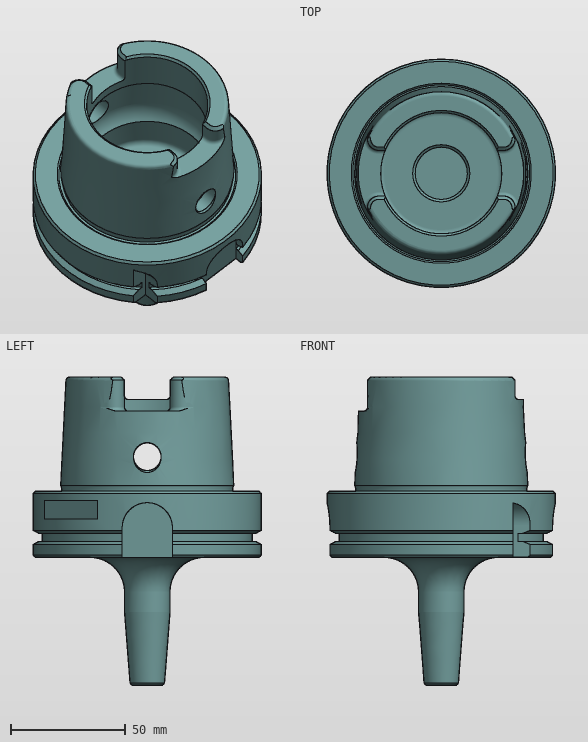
import cadquery as cq
import math


shank_length = 50.0
taper_base_z = 2.6
taper_base_radius = 37.95
taper_slope = 1.0 / 20.0
shank_top_round = 1.8

relief_radius = 37.6
relief_top_z = 1.7
relief_waist_z = 0.8
relief_waist_radius = 37.5
relief_depth = 0.6
relief_floor_radius = 38.7
relief_rim_radius = 39.4

flange_radius = 50.0
flange_height = 29.0
flange_chamfer = 1.0
groove_radius = 46.0
groove_center_z = -20.2
groove_half_width = 1.7
groove_mouth_half_width = 3.1
groove_side_radius = 47.4

neck_radius = 10.0
neck_fillet = 15.0
cone_start_z = -53.0
nose_bottom_z = -85.0
nose_tip_radius = 7.6
nose_chamfer = 1.0

bore_radius = 26.5
bore_chamfer = 1.0
bore_bottom_z = 30.3
cavity_radius = 31.3
shoulder_angle = 30.0
cavity_bottom_z = 9.9
cavity_round = 10.0
lower_bore_radius = 27.5
lower_bore_floor_z = -13.4
lower_bore_fillet = 2.6
coolant_hole_radius = 11.4
coolant_hole_chamfer = 1.1
coolant_hole_depth = 10.0

drive_slot_half_width = 10.0
drive_slot_floors = {-1: 35.1, 1: 40.2}
drive_slot_floor_fillet = 1.7
drive_slot_top_chamfer = 1.4
tooth_corner_radius = 5.0
tooth_corner_x = 27.3
tooth_corner_sweep = 120.0
tooth_flank_length = 4.0

cross_hole_radius = 6.0
cross_hole_z = 15.1
countersink_start_x = 36.8
countersink_end_x = 38.5

keyway_radius = 11.0
keyway_center_z = -16.0
keyway_floor_distance = 44.5

notch_floor_x = 31.5
notch_wall_y = -31.4
notch_radius = 10.0
notch_center_z = -14.8

pocket_floor_distance = 47.2
pocket_top_z = -4.1
pocket_bottom_z = -12.2
pocket_direction = 135.0

clear = 60.0


def make_body():
    """Revolve the outside of shank, flange and nose."""
    taper_top_z = shank_length - shank_top_round
    taper_top_radius = taper_base_radius - taper_slope * (taper_top_z - taper_base_z)
    top_round_r = taper_top_radius - shank_top_round
    top_round_reach = shank_top_round * math.sin(math.radians(45))
    fillet_center_r = neck_radius + neck_fillet
    fillet_center_z = -flange_height - neck_fillet
    fillet_reach = neck_fillet * math.sin(math.radians(45))
    profile = (
        cq.Workplane("YZ")
        .moveTo(0, shank_length)
        .lineTo(top_round_r, shank_length)
        .threePointArc(
            (top_round_r + top_round_reach, taper_top_z + top_round_reach),
            (taper_top_radius, taper_top_z),
        )
        .lineTo(taper_base_radius, taper_base_z)
        .lineTo(relief_radius, relief_top_z)
        .lineTo(relief_waist_radius, relief_waist_z)
        .lineTo(relief_waist_radius, -relief_depth)
        .lineTo(relief_floor_radius, -relief_depth)
        .lineTo(relief_rim_radius, 0)
        .lineTo(flange_radius - flange_chamfer, 0)
        .lineTo(flange_radius, -flange_chamfer)
        .lineTo(flange_radius, groove_center_z + groove_mouth_half_width)
        .lineTo(groove_side_radius, groove_center_z + groove_half_width)
        .lineTo(groove_radius, groove_center_z + groove_half_width)
        .lineTo(groove_radius, groove_center_z - groove_half_width)
        .lineTo(groove_side_radius, groove_center_z - groove_half_width)
        .lineTo(flange_radius, groove_center_z - groove_mouth_half_width)
        .lineTo(flange_radius, flange_chamfer - flange_height)
        .lineTo(flange_radius - flange_chamfer, -flange_height)
        .lineTo(fillet_center_r, -flange_height)
        .threePointArc(
            (fillet_center_r - fillet_reach, fillet_center_z + fillet_reach),
            (neck_radius, fillet_center_z),
        )
        .lineTo(neck_radius, cone_start_z)
        .lineTo(nose_tip_radius, nose_bottom_z + nose_chamfer)
        .lineTo(nose_tip_radius - nose_chamfer, nose_bottom_z)
        .lineTo(0, nose_bottom_z)
        .close()
    )
    return profile.revolve(360, (0, 0), (0, 1))


def make_cavity():
    """Revolve the bore, clamping shoulder, wide cavity, lower bore and coolant hole."""
    shoulder_drop = (cavity_radius - bore_radius) * math.tan(math.radians(shoulder_angle))

    round_center_r = cavity_radius - cavity_round
    round_end_turn = math.acos((lower_bore_radius - round_center_r) / cavity_round)
    round_end_z = cavity_bottom_z - cavity_round * math.sin(round_end_turn)
    round_middle_r = round_center_r + cavity_round * math.cos(round_end_turn / 2)
    round_middle_z = cavity_bottom_z - cavity_round * math.sin(round_end_turn / 2)

    fillet_center_r = lower_bore_radius - lower_bore_fillet
    fillet_center_z = lower_bore_floor_z + lower_bore_fillet
    fillet_reach = lower_bore_fillet * math.sin(math.radians(45))
    hole_bottom_z = lower_bore_floor_z - coolant_hole_depth
    profile = (
        cq.Workplane("YZ")
        .moveTo(0, shank_length)
        .lineTo(bore_radius + bore_chamfer, shank_length)
        .lineTo(bore_radius, shank_length - bore_chamfer)
        .lineTo(bore_radius, bore_bottom_z)
        .lineTo(cavity_radius, bore_bottom_z - shoulder_drop)
        .lineTo(cavity_radius, cavity_bottom_z)
        .threePointArc((round_middle_r, round_middle_z), (lower_bore_radius, round_end_z))
        .lineTo(lower_bore_radius, fillet_center_z)
        .threePointArc(
            (fillet_center_r + fillet_reach, fillet_center_z - fillet_reach),
            (fillet_center_r, lower_bore_floor_z),
        )
        .lineTo(coolant_hole_radius + coolant_hole_chamfer, lower_bore_floor_z)
        .lineTo(coolant_hole_radius, lower_bore_floor_z - coolant_hole_chamfer)
        .lineTo(coolant_hole_radius, hole_bottom_z)
        .lineTo(0, hole_bottom_z)
        .close()
    )
    return profile.revolve(360, (0, 0), (0, 1))


def drive_slot_outline(z, offset):
    """Plan outline of the +X drive slot at height z, widened into the teeth by offset."""
    corner_radius = tooth_corner_radius - offset
    center_y = drive_slot_half_width + tooth_corner_radius

    def on_corner(angle):
        turn = math.radians(angle)
        x = tooth_corner_x + corner_radius * math.sin(turn)
        y = center_y - corner_radius * math.cos(turn)
        return x, y

    end_x, end_y = on_corner(tooth_corner_sweep)
    flank_turn = math.radians(tooth_corner_sweep)
    flank_x = end_x + tooth_flank_length * math.cos(flank_turn)
    flank_y = end_y + tooth_flank_length * math.sin(flank_turn)
    middle_x, middle_y = on_corner(tooth_corner_sweep / 2)
    half_width = drive_slot_half_width + offset
    return (
        cq.Workplane("XY", origin=(0, 0, z))
        .moveTo(0, -half_width)
        .lineTo(tooth_corner_x, -half_width)
        .threePointArc((middle_x, -middle_y), (end_x, -end_y))
        .lineTo(flank_x, -flank_y)
        .lineTo(clear, -flank_y)
        .lineTo(clear, flank_y)
        .lineTo(flank_x, flank_y)
        .lineTo(end_x, end_y)
        .threePointArc((middle_x, middle_y), (tooth_corner_x, half_width))
        .lineTo(0, half_width)
        .close()
    )


def make_drive_slot(side):
    """Drive slot with a filleted floor and chamfered tooth tops; side is -1 or +1 along X."""
    floor_z = drive_slot_floors[side]
    slot = (
        drive_slot_outline(floor_z, 0)
        .extrude(shank_length - floor_z)
        .faces("<Z")
        .edges()
        .fillet(drive_slot_floor_fillet)
    )
    chamfer_z = shank_length - drive_slot_top_chamfer
    flare = cq.Solid.makeLoft(
        [
            drive_slot_outline(chamfer_z, 0).val(),
            drive_slot_outline(shank_length, drive_slot_top_chamfer).val(),
        ],
        True,
    )
    slot = slot.union(cq.Workplane(flare))
    if side < 0:
        slot = slot.rotate((0, 0, 0), (0, 0, 1), 180)
    return slot


def make_rim_slot(center_y, radius, center_z, floor_x):
    """Slot along X, round at the top and open at the flange bottom, with its floor at floor_x."""
    straight = flange_height + center_z
    return (
        cq.Workplane("YZ", origin=(floor_x, center_y, center_z))
        .moveTo(-radius, -straight)
        .lineTo(-radius, 0)
        .threePointArc((0, radius), (radius, 0))
        .lineTo(radius, -straight)
        .close()
        .extrude(clear - floor_x)
    )


def make_chip_pocket():
    """Flat-floored pocket across the rim, facing -X +Y."""
    height = pocket_top_z - pocket_bottom_z
    return (
        cq.Workplane("XY", origin=(0, 0, pocket_bottom_z))
        .center((pocket_floor_distance + clear) / 2, 0)
        .rect(clear - pocket_floor_distance, 2 * flange_radius)
        .extrude(height)
        .rotate((0, 0, 0), (0, 0, 1), pocket_direction)
    )


def make_cross_hole():
    """Round hole along X through both walls of the shank, with a 45 degree countersink at each end."""
    countersink_radius = cross_hole_radius + countersink_end_x - countersink_start_x
    return (
        cq.Workplane("XY", origin=(0, 0, cross_hole_z))
        .moveTo(-countersink_end_x, 0)
        .lineTo(-countersink_end_x, countersink_radius)
        .lineTo(-countersink_start_x, cross_hole_radius)
        .lineTo(countersink_start_x, cross_hole_radius)
        .lineTo(countersink_end_x, countersink_radius)
        .lineTo(countersink_end_x, 0)
        .close()
        .revolve(360, (0, 0), (1, 0))
    )


keyway = make_rim_slot(0, keyway_radius, keyway_center_z, keyway_floor_distance)
notch = make_rim_slot(notch_wall_y - notch_radius, notch_radius, notch_center_z, notch_floor_x)

result = make_body().cut(make_cavity())
for side in drive_slot_floors:
    result = result.cut(make_drive_slot(side))
result = (
    result.cut(make_cross_hole())
    .cut(keyway)
    .cut(keyway.rotate((0, 0, 0), (0, 0, 1), 180))
    .cut(notch)
    .cut(make_chip_pocket())
)